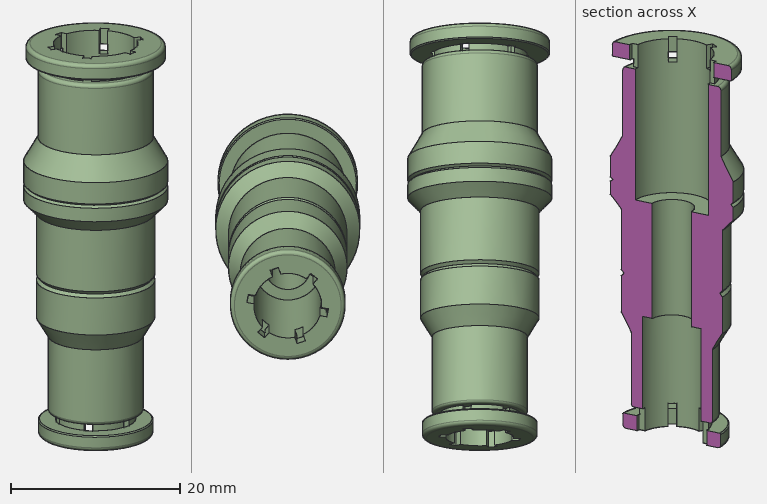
import cadquery as cq

LARGE_FLANGE_D = 16.5
LARGE_NECK_D = 11.2
LARGE_BODY_D = 13.65
COLLAR_D = 17.0
MIDDLE_BODY_D = 14.0
SMALL_BODY_D = 11.25
SMALL_NECK_D = 9.5
SMALL_FLANGE_D = 13.6

LENGTH = 48.5
FLANGE_THICKNESS = 1.95
NECK_LENGTH = 0.95
SMALL_BODY_START = FLANGE_THICKNESS + NECK_LENGTH
SMALL_CONE_START = 12.25
SMALL_CONE_END = 14.55
MIDDLE_GROOVE_Z = 19.55
COLLAR_CONE_START = 27.55
COLLAR_CONE_END = 29.1
COLLAR_GROOVE_Z = 31.05
LARGE_CONE_START = 33.95
LARGE_CONE_END = 36.85
LARGE_FLANGE_START = LENGTH - FLANGE_THICKNESS
LARGE_BODY_END = LARGE_FLANGE_START - NECK_LENGTH

LARGE_BORE_D = 10.0
SMALL_BORE_D = 8.0
PASSAGE_D = 5.4
LARGE_BORE_FLOOR = COLLAR_CONE_END
SMALL_BORE_FLOOR = SMALL_CONE_END

EDGE_RADIUS = 0.5
SMALL_BODY_EDGE_RADIUS = 0.35
FLANGE_CHAMFER = 0.15
GROOVE_DEPTH = 0.35
MIDDLE_GROOVE_WIDTH = 0.8
COLLAR_GROOVE_WIDTH = 0.55
SLOT_COUNT = 6
SLOT_WIDTH = 1.0
LARGE_SLOT_REACH = 5.75
SMALL_SLOT_REACH = 4.8


def cylinder(diameter, bottom, top):
    return cq.Workplane("XY").workplane(offset=bottom).circle(diameter / 2).extrude(top - bottom)


def central_body():
    """Revolve the stepped and tapered body between the two necks."""
    points = [
        (0, SMALL_BODY_START),
        (SMALL_BODY_D / 2, SMALL_BODY_START),
        (SMALL_BODY_D / 2, SMALL_CONE_START),
        (MIDDLE_BODY_D / 2, SMALL_CONE_END),
        (MIDDLE_BODY_D / 2, COLLAR_CONE_START),
        (COLLAR_D / 2, COLLAR_CONE_END),
        (COLLAR_D / 2, LARGE_CONE_START),
        (LARGE_BODY_D / 2, LARGE_CONE_END),
        (LARGE_BODY_D / 2, LARGE_BODY_END),
        (0, LARGE_BODY_END),
    ]
    body = cq.Workplane("XZ").polyline(points).close().revolve(360, (0, 0), (0, 1))
    body = body.faces("<Z").edges().fillet(SMALL_BODY_EDGE_RADIUS)
    return body.faces(">Z").edges().fillet(EDGE_RADIUS)


def v_groove(diameter, height, width):
    """Ring with a triangular section, cut into a cylinder of the given diameter."""
    radius = diameter / 2
    points = [
        (radius, height - width / 2),
        (radius - GROOVE_DEPTH, height),
        (radius, height + width / 2),
    ]
    return cq.Workplane("XZ").polyline(points).close().revolve(360, (0, 0), (0, 1))


def flange(diameter, bottom, outer_face, inner_face):
    disc = cylinder(diameter, bottom, bottom + FLANGE_THICKNESS)
    disc = disc.faces(outer_face).edges().fillet(EDGE_RADIUS)
    return disc.faces(inner_face).edges().chamfer(FLANGE_CHAMFER)


def radial_slots(reach, bottom, top):
    """Slots from the axis outward, starting along +Y and evenly spaced."""
    slots = cq.Workplane("XY")
    for index in range(SLOT_COUNT):
        slot = cq.Workplane("XY").box(SLOT_WIDTH, reach, top - bottom, centered=(True, False, False))
        slot = slot.translate((0, 0, bottom))
        slots = slots.add(slot.rotate((0, 0, 0), (0, 0, 1), index * 360 / SLOT_COUNT))
    return slots.combine()


result = central_body()
result = result.cut(v_groove(MIDDLE_BODY_D, MIDDLE_GROOVE_Z, MIDDLE_GROOVE_WIDTH))
result = result.cut(v_groove(COLLAR_D, COLLAR_GROOVE_Z, COLLAR_GROOVE_WIDTH))
result = result.union(cylinder(SMALL_NECK_D, FLANGE_THICKNESS, SMALL_BODY_START))
result = result.union(cylinder(LARGE_NECK_D, LARGE_BODY_END, LARGE_FLANGE_START))
result = result.union(flange(SMALL_FLANGE_D, 0, "<Z", ">Z"))
result = result.union(flange(LARGE_FLANGE_D, LARGE_FLANGE_START, ">Z", "<Z"))

result = result.cut(cylinder(PASSAGE_D, 0, LENGTH))
result = result.cut(cylinder(SMALL_BORE_D, 0, SMALL_BORE_FLOOR))
result = result.cut(cylinder(LARGE_BORE_D, LARGE_BORE_FLOOR, LENGTH))
result = result.cut(radial_slots(SMALL_SLOT_REACH, 0, SMALL_BODY_START))
result = result.cut(radial_slots(LARGE_SLOT_REACH, LARGE_BODY_END, LENGTH))